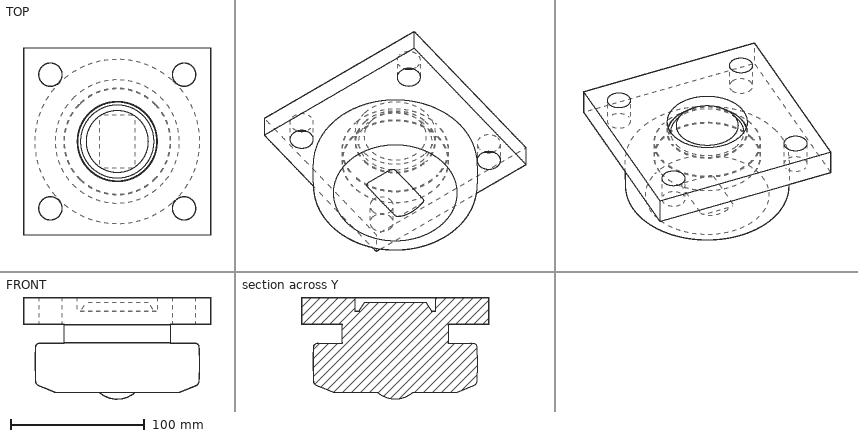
import cadquery as cq
PLATE_SIDE = 140.0
PLATE_THICKNESS = 20.0
BOLT_HOLE_DIAMETER = 17.29
BOLT_HOLE_SPACING = 100.0

BORE_DIAMETER = 60.0
PIN_RECESS = 3.5
PIN_TOP_RADIUS = 23.2
PIN_CONE_RADIUS = 27.4
PIN_CONE_DEPTH = 6.5

NECK_DIAMETER = 80.0
NECK_HEIGHT = 14.0

RIM_CHAMFER = 0.5

ROLLER_RADIUS = 61.65
ROLLER_HEIGHT = 37.0
ROLLER_SHOULDER_RADIUS = 61.1
ROLLER_TOP_ROUND = 3.1
ROLLER_BOTTOM_RADIUS = 46.3
ROLLER_BOTTOM_CONE_HEIGHT = 6.0
ROLLER_BOTTOM_ROUND = 4.3

RIM_PICK_MARGIN = 1.0

OVERALL_HEIGHT = 76.1
SIDE_ROLLER_RADIUS = 20.0
SIDE_ROLLER_SHOULDER_RADIUS = 19.8
SIDE_ROLLER_LENGTH = 40.0
SIDE_ROLLER_ROUND = 2.5

neck_bottom = -(PLATE_THICKNESS + NECK_HEIGHT)
roller_bottom = neck_bottom - ROLLER_HEIGHT


def make_plate():
    """Square plate with four bolt holes and a central bore."""
    top_center = (0, 0, 0)
    plate = cq.Workplane("XY").box(PLATE_SIDE, PLATE_SIDE, PLATE_THICKNESS, centered=(True, True, False))
    plate = plate.translate((0, 0, -PLATE_THICKNESS))
    plate = plate.faces(">Z").workplane().hole(BORE_DIAMETER)
    bolt_pattern = plate.faces(">Z").workplane(origin=top_center)
    bolt_pattern = bolt_pattern.rect(BOLT_HOLE_SPACING, BOLT_HOLE_SPACING, forConstruction=True)
    return bolt_pattern.vertices().hole(BOLT_HOLE_DIAMETER)


def make_pin():
    """Journal pin filling the bore, with a coned end and a chamfered rim."""
    shoulder = -(PIN_RECESS + PIN_CONE_DEPTH)
    profile = (
        cq.Workplane("XZ")
        .moveTo(0, neck_bottom)
        .lineTo(BORE_DIAMETER / 2, neck_bottom)
        .lineTo(BORE_DIAMETER / 2, shoulder - RIM_CHAMFER)
        .lineTo(BORE_DIAMETER / 2 - RIM_CHAMFER, shoulder)
        .lineTo(PIN_CONE_RADIUS, shoulder)
        .lineTo(PIN_TOP_RADIUS, -PIN_RECESS)
        .lineTo(0, -PIN_RECESS)
        .close()
    )
    return profile.revolve(360, (0, 0), (0, 1))


def make_neck():
    """Cylindrical neck below the plate, chamfered where it meets the plate and the main roller."""
    neck = cq.Workplane("XY", origin=(0, 0, neck_bottom)).circle(NECK_DIAMETER / 2).extrude(NECK_HEIGHT)
    return neck.edges("%CIRCLE").chamfer(RIM_CHAMFER)


def make_main_roller():
    """Crowned roller with a rounded top edge and a coned, rounded bottom edge."""
    cone_top = roller_bottom + ROLLER_BOTTOM_CONE_HEIGHT
    profile = (
        cq.Workplane("XZ")
        .moveTo(0, roller_bottom)
        .lineTo(ROLLER_BOTTOM_RADIUS, roller_bottom)
        .lineTo(ROLLER_SHOULDER_RADIUS, cone_top)
        .threePointArc(
            (ROLLER_RADIUS, (cone_top + neck_bottom) / 2),
            (ROLLER_SHOULDER_RADIUS, neck_bottom),
        )
        .lineTo(0, neck_bottom)
        .close()
    )
    roller = profile.revolve(360, (0, 0), (0, 1))
    roller = roller.edges(">Z").fillet(ROLLER_TOP_ROUND)
    cone_rim = cq.selectors.BoxSelector(
        (-PLATE_SIDE, -PLATE_SIDE, cone_top - RIM_PICK_MARGIN),
        (PLATE_SIDE, PLATE_SIDE, cone_top + RIM_PICK_MARGIN),
        boundingbox=True,
    )
    return roller.edges(cone_rim).fillet(ROLLER_BOTTOM_ROUND)


def make_side_roller():
    """Crowned roller along Y whose lowest point is the bottom of the part."""
    axis_height = SIDE_ROLLER_RADIUS - OVERALL_HEIGHT
    half_length = SIDE_ROLLER_LENGTH / 2
    profile = (
        cq.Workplane("YZ", origin=(0, 0, axis_height))
        .moveTo(-half_length, 0)
        .lineTo(-half_length, SIDE_ROLLER_SHOULDER_RADIUS)
        .threePointArc((0, SIDE_ROLLER_RADIUS), (half_length, SIDE_ROLLER_SHOULDER_RADIUS))
        .lineTo(half_length, 0)
        .close()
    )
    roller = profile.revolve(360, (0, 0), (1, 0))
    return roller.faces("<Y or >Y").edges().fillet(SIDE_ROLLER_ROUND)


def make_part():
    """All features joined into one solid."""
    body = make_plate()
    for feature in (make_pin(), make_neck(), make_main_roller(), make_side_roller()):
        body = body.union(feature)
    return cq.Workplane(body.solids().val())


result = make_part()